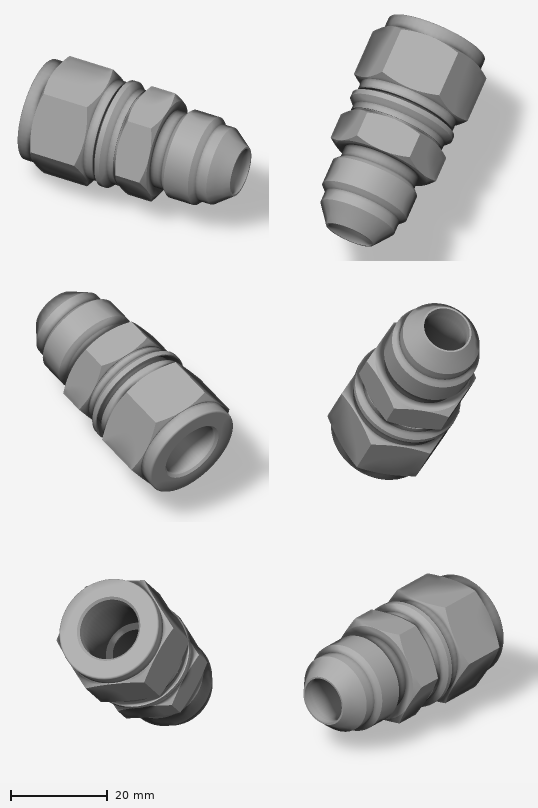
import cadquery as cq
import math


nut_hex_start = 3.0
nut_hex_end = 14.9
nut_end = 17.05
ring_start = 17.9
ring_rim_end = 19.0
ring_taper_end = 20.25
ring_end = 21.6
body_hex_start = 22.05
body_hex_end = 29.25
thread_start = 31.65
thread_end = 39.5
nose_start = 42.0
total_length = 46.0

nut_collar_diameter = 21.8
nut_tail_diameter = 21.5
body_neck_diameter = 19.05
ring_rim_diameter = 23.0
ring_shoulder_diameter = 20.6
hex_relief_diameter = 20.2
ring_cup_diameter = 22.5
thread_diameter = 19.05
flare_neck_diameter = 16.7

nut_across_flats = 22.225
body_across_flats = 20.6
hex_chamfer_angle = 30.0

nut_front_round = 0.4
nut_tail_chamfer = 0.3
nut_tail_chamfer_angle = 20.0
flare_half_angle = 37.0

through_bore_diameter = 9.9
tube_socket_diameter = 12.9
tube_socket_depth = 17.0
socket_mouth_chamfer = 0.5


def cylinder(start, end, diameter):
    """Cylinder along the X axis between two stations."""
    return cq.Workplane("YZ", origin=(start, 0, 0)).circle(diameter / 2).extrude(end - start)


def revolved(outline):
    """Solid of revolution about X from (station, radius) points."""
    return cq.Workplane("XY").polyline(outline).close().revolve(360, (0, 0, 0), (1, 0, 0))


def chamfered_hexagon(start, end, across_flats, rear_diameter):
    """Hexagonal prism with conical corners; its flats end between start and end.

    The rear cone runs on past the flats until it reaches rear_diameter.
    """
    corner_radius = across_flats / math.sqrt(3)
    face_radius = across_flats / 2
    cone_slope = math.tan(math.radians(hex_chamfer_angle))
    chamfer_length = (corner_radius - face_radius) * cone_slope
    rear_end = end + (face_radius - rear_diameter / 2) * cone_slope
    prism = (
        cq.Workplane("YZ", origin=(start, 0, 0))
        .polygon(6, 2 * corner_radius)
        .extrude(rear_end - start)
    )
    turned_envelope = revolved([
        (start, 0),
        (start, face_radius),
        (start + chamfer_length, corner_radius),
        (end - chamfer_length, corner_radius),
        (rear_end, rear_diameter / 2),
        (rear_end, 0),
    ])
    return prism.intersect(turned_envelope)


def tube_nut():
    """Hexagon nut with a rounded front collar; its rear corner cone runs down to a chamfered tail."""
    collar = cylinder(0, nut_hex_start, nut_collar_diameter).faces("<X").edges().fillet(nut_front_round)
    hexagon = chamfered_hexagon(nut_hex_start, nut_hex_end, nut_across_flats, nut_tail_diameter)
    tail_radius = nut_tail_diameter / 2
    tail_chamfer_drop = nut_tail_chamfer * math.tan(math.radians(nut_tail_chamfer_angle))
    tail = revolved([
        (nut_hex_end, 0),
        (nut_hex_end, tail_radius),
        (nut_end - nut_tail_chamfer, tail_radius),
        (nut_end, tail_radius - tail_chamfer_drop),
        (nut_end, 0),
    ])
    return collar.union(hexagon).union(tail)


def gauge_ring():
    """Ring tapering from its rim to a smaller shoulder, cupped conically towards the nut."""
    cup_radius = ring_cup_diameter / 2
    neck_radius = body_neck_diameter / 2
    cup_depth = cup_radius - neck_radius
    rim_radius = ring_rim_diameter / 2
    shoulder_radius = ring_shoulder_diameter / 2
    return revolved([
        (ring_start + cup_depth, 0),
        (ring_start + cup_depth, neck_radius),
        (ring_start, cup_radius),
        (ring_start, rim_radius),
        (ring_rim_end, rim_radius),
        (ring_taper_end, shoulder_radius),
        (ring_end, shoulder_radius),
        (ring_end, 0),
    ])


def flare_end():
    """Neck, plain thread cylinder with 45 degree ends, and conical flare nose."""
    thread_radius = thread_diameter / 2
    neck_radius = flare_neck_diameter / 2
    thread_chamfer = thread_radius - neck_radius
    nose_drop = (total_length - nose_start) * math.tan(math.radians(flare_half_angle))
    return revolved([
        (body_hex_end, 0),
        (body_hex_end, neck_radius),
        (thread_start, neck_radius),
        (thread_start + thread_chamfer, thread_radius),
        (thread_end - thread_chamfer, thread_radius),
        (thread_end, neck_radius),
        (nose_start, neck_radius),
        (total_length, neck_radius - nose_drop),
        (total_length, 0),
    ])


def fitting_bore():
    """Through bore with a larger tube socket and a chamfered mouth."""
    bore_radius = through_bore_diameter / 2
    socket_radius = tube_socket_diameter / 2
    return revolved([
        (0, 0),
        (0, socket_radius + socket_mouth_chamfer),
        (socket_mouth_chamfer, socket_radius),
        (tube_socket_depth, socket_radius),
        (tube_socket_depth, bore_radius),
        (total_length, bore_radius),
        (total_length, 0),
    ])


outside = (
    tube_nut()
    .union(cylinder(nut_end, ring_end, body_neck_diameter))
    .union(gauge_ring())
    .union(cylinder(ring_end, body_hex_start, hex_relief_diameter))
    .union(chamfered_hexagon(body_hex_start, body_hex_end, body_across_flats, body_across_flats))
    .union(flare_end())
)
result = outside.cut(fitting_bore())